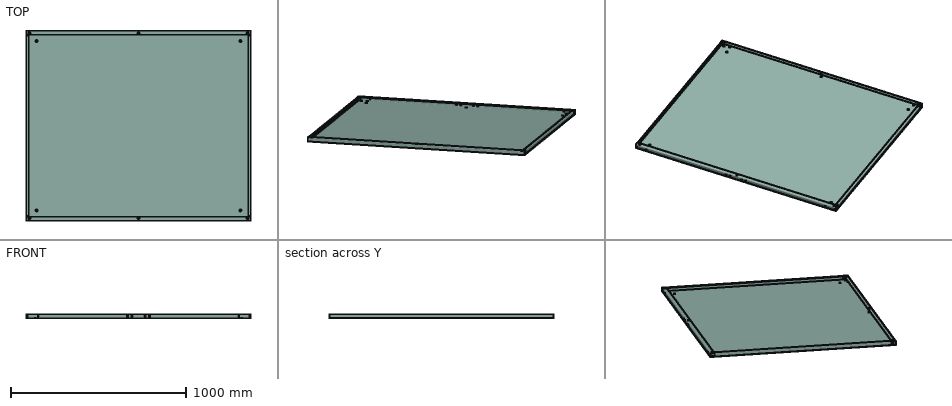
import cadquery as cq

LENGTH_X = 1283.02
WIDTH_Y = 1086.0
HEIGHT = 25.0

SHEET = 2.5
BEND_RADIUS = 0.5
OUTER_RADIUS = BEND_RADIUS + SHEET

LONG_LIP = 25.0
SIDE_LIP = 14.0
CORNER_RELIEF = 28.5

LIP_HOLE_Y = WIDTH_Y / 2 - 16.0
CORNER_HOLE_X = LENGTH_X / 2 - 19.0
CORNER_HOLE = 11.0
MIDDLE_HOLE = 10.0

PANEL_HOLE = 10.0
PANEL_HOLE_INSET = 60.0
PANEL_HOLE_X = LENGTH_X / 2 - PANEL_HOLE_INSET
PANEL_HOLE_Y = WIDTH_Y / 2 - PANEL_HOLE_INSET

DRAIN_HOLE = 10.0
DRAIN_HOLE_X = LENGTH_X / 2 - 53.0
DRAIN_HOLE_Y = WIDTH_Y / 2 - 10.0

PAIRED_HOLE = 8.0
PAIRED_HOLE_X = (38.0, 63.0)
END_HOLE = 5.0
END_HOLE_X = (573.0, 633.5)

SIDES = (-1, 1)


def bar(width, height, corner_radius, length):
    """Rounded rectangular bar along Y, centred on the origin."""
    block = cq.Workplane("XY").box(width, length, height)
    return block.edges("|Y").fillet(corner_radius)


def folded_tray(span, lip, length):
    """Floor running along Y, with both long edges folded up and then back in as lips."""
    outside = bar(span, HEIGHT, OUTER_RADIUS, length)
    inside = bar(span - 2 * SHEET, HEIGHT - 2 * SHEET, BEND_RADIUS, length)
    mouth = cq.Workplane("XY").box(span - 2 * lip, length, HEIGHT / 2, centered=(True, True, False))
    return outside.cut(inside).cut(mouth).translate((0, 0, HEIGHT / 2))


def four_corners(x, y):
    return [(side_x * x, side_y * y) for side_x in SIDES for side_y in SIDES]


def vertical_drill(points, diameter, depth):
    """Cylinders rising from the underside of the floor."""
    return cq.Workplane("XY").pushPoints(points).circle(diameter / 2).extrude(depth)


def front_wall_drill(distances, diameter):
    """Cylinders through the front wall only, mirrored about the centre."""
    points = [(side * x, HEIGHT / 2) for x in distances for side in SIDES]
    front = cq.Workplane("XZ", origin=(0, -WIDTH_Y / 2, 0))
    return front.pushPoints(points).circle(diameter / 2).extrude(-OUTER_RADIUS)


long_tray = folded_tray(WIDTH_Y, LONG_LIP, LENGTH_X).rotate((0, 0, 0), (0, 0, 1), 90)
side_tray = folded_tray(LENGTH_X, SIDE_LIP, WIDTH_Y - 2 * CORNER_RELIEF)
body = long_tray.union(side_tray)

corner_points = four_corners(CORNER_HOLE_X, LIP_HOLE_Y)
middle_points = [(0, side * LIP_HOLE_Y) for side in SIDES]
body = body.cut(vertical_drill(corner_points, CORNER_HOLE, HEIGHT))
body = body.cut(vertical_drill(middle_points, MIDDLE_HOLE, HEIGHT))

body = body.cut(vertical_drill(four_corners(PANEL_HOLE_X, PANEL_HOLE_Y), PANEL_HOLE, SHEET))
body = body.cut(vertical_drill(four_corners(DRAIN_HOLE_X, DRAIN_HOLE_Y), DRAIN_HOLE, SHEET))

body = body.cut(front_wall_drill(PAIRED_HOLE_X, PAIRED_HOLE))
body = body.cut(front_wall_drill(END_HOLE_X, END_HOLE))

result = body